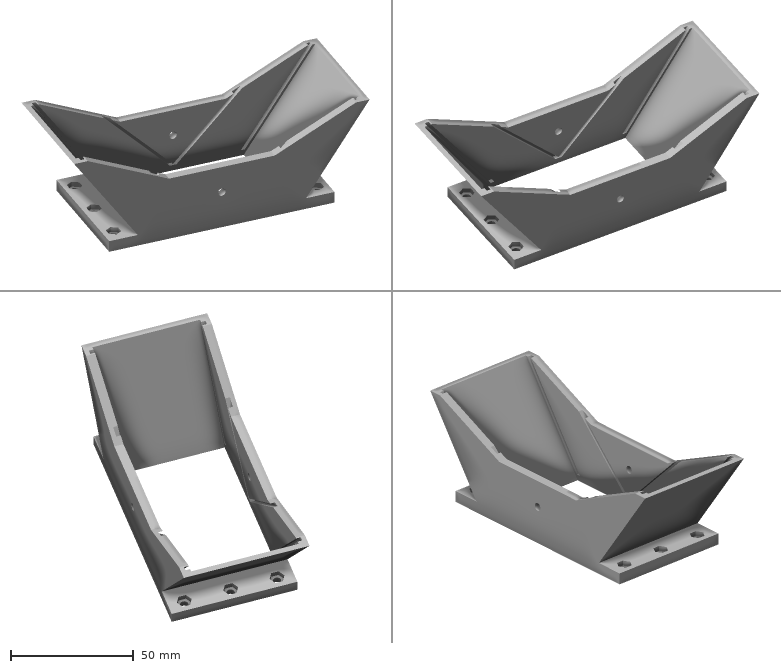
import cadquery as cq
import math

length = 131.1
width = 54.0
height = 45.0
side_wall = 3.9
end_wall = 2.0
end_lean = 35.2

base_length = 100.0
base_height = 5.0
crest_length = 6.0
saddle_length = 46.9
saddle_height = 28.3

pin_diameter = 3.4
pin_height = 16.5

groove_depth = side_wall / 2
groove_width = 1.5
groove_floor = 2.5
end_groove_gap = 1.0
vee_angle = 45.0
vee_floor_offset = 0.5

nut_sides = 6
nut_flats = 5.5
nut_depth = 2.2
screw_diameter = 3.4
screw_spacing = 19.9
screw_inset = 5.0

lean_slope = math.tan(math.radians(end_lean))
end_wall_run = end_wall / math.cos(math.radians(end_lean))
half_length = length / 2
inner_width = width - 2 * side_wall


def mirrored_outline(right_half):
    """Close an outline in (Y, Z) from its +Y half, listed bottom to top."""
    left_half = [(-y, z) for y, z in reversed(right_half)]
    return right_half + left_half


def extrude_across(points, across):
    """Extrude a (Y, Z) outline along X, centred on the middle plane."""
    return cq.Workplane("YZ").polyline(points).close().extrude(across / 2, both=True)


def make_body():
    flank_foot = half_length - (height - base_height) * lean_slope
    outline = mirrored_outline([
        (base_length / 2, 0),
        (base_length / 2, base_height),
        (flank_foot, base_height),
        (half_length, height),
        (half_length - crest_length, height),
        (saddle_length / 2, saddle_height),
    ])
    return extrude_across(outline, width)


def make_cavity():
    top = half_length - end_wall_run
    bottom = top - height * lean_slope
    return extrude_across(mirrored_outline([(bottom, 0), (top, height)]), inner_width)


def make_groove(floor_y, angle):
    """Leaning slot cut equally into both side walls, open at the top."""
    slope = math.tan(math.radians(angle))
    half_run = groove_width / math.cos(math.radians(angle)) / 2
    top_y = floor_y + (height - groove_floor) * slope
    outline = [
        (floor_y - half_run, groove_floor),
        (floor_y + half_run, groove_floor),
        (top_y + half_run, height),
        (top_y - half_run, height),
    ]
    return extrude_across(outline, inner_width + 2 * groove_depth)


def cut_grooves(part):
    end_offset = end_wall + end_groove_gap + groove_width / 2
    end_run = end_offset / math.cos(math.radians(end_lean))
    end_floor_y = half_length - end_run - (height - groove_floor) * lean_slope
    for floor_y, angle in [(end_floor_y, end_lean), (vee_floor_offset, vee_angle)]:
        groove = make_groove(floor_y, angle)
        part = part.cut(groove).cut(groove.mirror("XZ"))
    return part


def cut_pin_hole(part):
    pin = cq.Workplane("YZ").center(0, pin_height).circle(pin_diameter / 2)
    return part.cut(pin.extrude(width / 2, both=True))


def cut_screw_seats(part):
    seat_y = base_length / 2 - screw_inset
    nut_corners = nut_flats / math.cos(math.pi / nut_sides)
    seats = [(row * screw_spacing, side * seat_y) for row in (-1, 0, 1) for side in (-1, 1)]
    holes = cq.Workplane("XY").pushPoints(seats).circle(screw_diameter / 2).extrude(base_height)
    pockets = (
        cq.Workplane("XY", origin=(0, 0, base_height - nut_depth))
        .pushPoints(seats)
        .polygon(nut_sides, nut_corners)
        .extrude(nut_depth)
    )
    return part.cut(holes).cut(pockets)


result = make_body().cut(make_cavity())
result = cut_grooves(result)
result = cut_pin_hole(result)
result = cut_screw_seats(result)